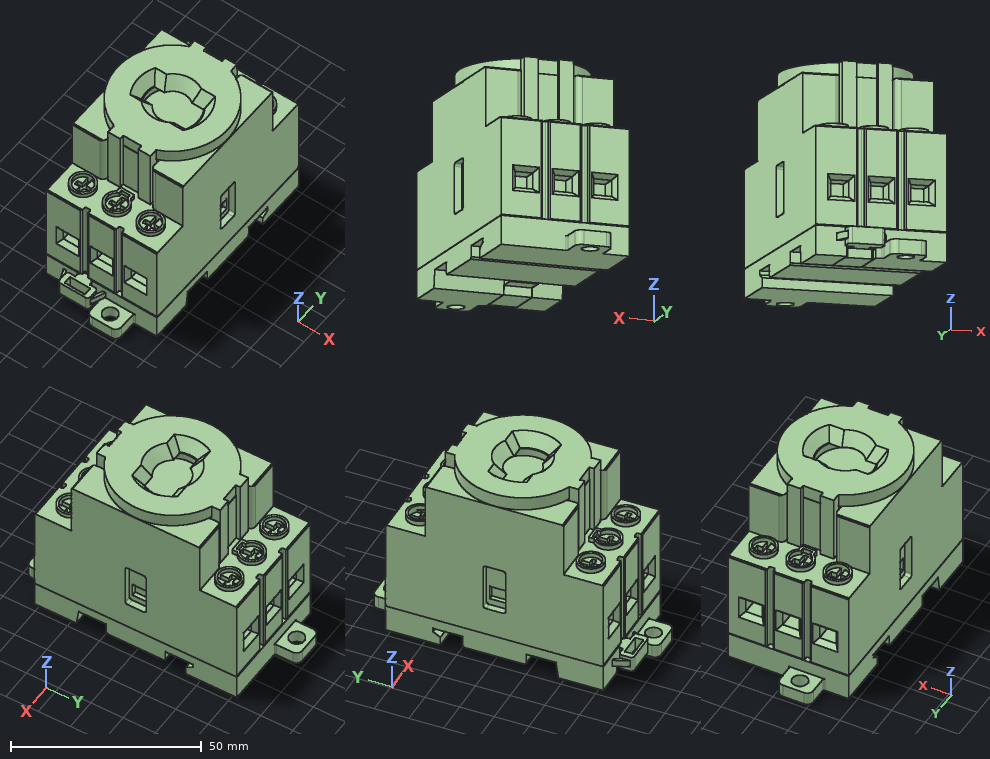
import cadquery as cq
WIDTH = 36.0
BODY_LENGTH = 62.85
TOTAL_LENGTH = 77.6
TOTAL_HEIGHT = 54.8
BASE_TOP = 7.9
TERMINAL_TOP = 34.6
BLOCK_TOP = 50.8
BLOCK_LENGTH = 39.9
EDGE_CHAMFER = 0.3
LOWER_CHAMFER = 0.2

RAIL_CEILING = 4.9
CENTRE_FOOT_HALF = 9.2
CENTRE_FOOT_BOTTOM = 1.4
CENTRE_FOOT_CORNER = 0.55
HOOK_LIP_END = 15.5
HOOK_LIP_HEIGHT = 2.6
HOOK_ROOT_END = 17.7
HOOK_ROOT_HEIGHT = 3.8
FRONT_WALL_TOP_END = 17.7
FRONT_WALL_BOTTOM_END = 18.4
LUG_WIDTH = 10.0
LUG_HEIGHT = 3.95
LUG_X = 5.5
LUG_CORNER_RADIUS = 1.9
LUG_FOOT_RADIUS = 0.4
LUG_HOLE_DIAMETER = 4.5
LUG_HOLE_Y = 35.1

LATCH_X = -LUG_X
LATCH_BOTTOM = 2.55
LATCH_TOP = 7.15
SLIDER_WIDTH = 7.9
SLIDER_END = 11.7
BEAK_HEIGHT = 4.1
BEAK_BOTTOM_END = 13.9
SLIDER_FRONT_SETBACK = 1.2
FOOT_SETBACK = 1.55
FOOT_CHAMFER = 0.7
NECK_WIDTH = 4.65
HANDLE_WIDTH = 10.0
HANDLE_START = 32.35
HANDLE_END = 36.55
HANDLE_CORNER = 0.9
HANDLE_WINDOW_WIDTH = 6.6
HANDLE_WINDOW_LENGTH = 2.4
HANDLE_WINDOW_Y = 34.5
HANDLE_WINDOW_DEPTH = 3.9
ARM_BOTTOM = 4.1
ARM_TOP = 6.05
ARM_TIP_OUTER = 6.8
ARM_TIP_INNER = 6.0
ARM_ROOT_OUTER_Y = 36.25
ARM_ROOT_INNER_Y = 33.4
NECK_NOTCH_OUTER_WIDTH = 4.5
NECK_NOTCH_INNER_WIDTH = 1.55
NECK_NOTCH_DEPTH = 1.5

POLE_PITCH = 11.0
SCREW_Y = 24.6
SCREW_RING_DIAMETER = 7.6
SCREW_BORE_DIAMETER = 6.2
SCREW_RING_HEIGHT = 1.4
CROSS_WIDTH = 1.25
CROSS_SHORT_DIAMETER = 4.5
CROSS_DEPTH = 1.55
KEY_WIDTH = 4.5
KEY_SLOT_WIDTH = 2.7
KEY_SLOT_END = 20.7
REAR_RECESS_WIDTH = 4.8
REAR_RECESS_DEPTH = 0.8
WINDOW_Z = 18.3
WINDOW_WIDTH = 7.4
WINDOW_HEIGHT = 6.9
WINDOW_INNER_WIDTH = 5.0
WINDOW_INNER_HEIGHT = 4.35
WINDOW_TAPER_DEPTH = 1.55
WINDOW_BORE_DEPTH = 4.65
GROOVE_WIDTH = 1.7
GROOVE_DEPTH = 1.55
GROOVE_FLOOR_RADIUS = 0.4
GROOVE_MOUTH_FLARE = 0.5
GROOVE_MOUTH_DEPTH = 0.3

POCKET_LENGTH = 6.45
POCKET_BOTTOM = 16.3
POCKET_TOP = 30.2
POCKET_CORNER = 0.8
POCKET_DEPTH = 2.0
INNER_POCKET_LENGTH = 4.6
INNER_POCKET_BOTTOM = 18.2
INNER_POCKET_TOP = 22.3
INNER_POCKET_DEPTH = 1.3

CAP_RADIUS = 17.9
LEG_WIDTH = 13.8
LEG_END = 19.2
LEG_START = 16.45
LEG_GROOVE_WIDTH = 5.9
LEG_GROOVE_FLOOR = 17.85
CAP_NOTCH_FLOOR = 17.8
LEG_SLOT_WIDTH = 15.2
LEG_SLOT_CORNER = 1.4
SOCKET_RADIUS = 8.2
WING_RADIUS = 11.2
LEFT_WING_HALF = 5.6
RIGHT_WING_HALF = 7.1
SOCKET_TAPER_INSET = 2.95
SOCKET_TAPER_DEPTH = 3.65
WELL_DIAMETER = 17.0
WELL_DEPTH = 6.3

HALF_WIDTH = WIDTH / 2
HALF_BODY = BODY_LENGTH / 2
HALF_BLOCK = BLOCK_LENGTH / 2
SLIDER_FRONT = -HALF_BODY + SLIDER_FRONT_SETBACK
POLES = (-POLE_PITCH, 0, POLE_PITCH)
ENDS = (-1, 1)


def box(x_min, x_max, y_min, y_max, z_min, z_max):
    size = (x_max - x_min, y_max - y_min, z_max - z_min)
    return cq.Workplane("XY").box(*size, centered=False).translate((x_min, y_min, z_min))


def centred_box(width, y_min, y_max, z_min, z_max):
    return box(-width / 2, width / 2, y_min, y_max, z_min, z_max)


def at_end(shape, end):
    """Place a shape modelled at the rear (+Y) end at either end by a half turn about Z."""
    return shape if end > 0 else shape.rotate((0, 0, 0), (0, 0, 1), 180)


def slider():
    """Sliding plate that ends in a beak under the rail recess."""
    profile = [
        (-SLIDER_END, LATCH_TOP),
        (-SLIDER_END, BEAK_HEIGHT),
        (-BEAK_BOTTOM_END, LATCH_BOTTOM),
        (SLIDER_FRONT, LATCH_BOTTOM),
        (SLIDER_FRONT, LATCH_TOP),
    ]
    plate = cq.Workplane("YZ").polyline(profile).close().extrude(SLIDER_WIDTH / 2, both=True)
    return plate.translate((LATCH_X, 0, 0))


def latch_foot():
    foot = centred_box(
        SLIDER_WIDTH, -HALF_BODY + FOOT_SETBACK, -FRONT_WALL_BOTTOM_END, 0, LATCH_BOTTOM
    )
    return foot.edges("|Z and <Y").chamfer(FOOT_CHAMFER).translate((LATCH_X, 0, 0))


def latch_handle():
    handle = centred_box(HANDLE_WIDTH, -HANDLE_END, -HANDLE_START, LATCH_BOTTOM, LATCH_TOP)
    handle = handle.edges("|Z").fillet(HANDLE_CORNER)
    window = centred_box(
        HANDLE_WINDOW_WIDTH,
        -HANDLE_WINDOW_Y - HANDLE_WINDOW_LENGTH / 2,
        -HANDLE_WINDOW_Y + HANDLE_WINDOW_LENGTH / 2,
        LATCH_TOP - HANDLE_WINDOW_DEPTH,
        LATCH_TOP,
    )
    return handle.cut(window).translate((LATCH_X, 0, 0))


def latch_arm():
    """Spring arm on the -X side of the handle, leaning back to the base."""
    root_x = HANDLE_WIDTH / 2
    outline = [
        (-ARM_TIP_OUTER, -HALF_BODY),
        (-root_x, -ARM_ROOT_OUTER_Y + HANDLE_CORNER / 2),
        (-root_x + HANDLE_CORNER / 2, -ARM_ROOT_INNER_Y - HANDLE_CORNER),
        (-root_x, -ARM_ROOT_INNER_Y),
        (-ARM_TIP_INNER, -HALF_BODY),
    ]
    return (
        cq.Workplane("XY", origin=(0, 0, ARM_BOTTOM))
        .polyline(outline)
        .close()
        .extrude(ARM_TOP - ARM_BOTTOM)
    )


def make_latch():
    neck = centred_box(NECK_WIDTH, -HANDLE_START, SLIDER_FRONT, LATCH_BOTTOM, LATCH_TOP)
    arm = latch_arm()
    latch = slider().union(latch_foot())
    latch = latch.union(neck.translate((LATCH_X, 0, 0))).union(latch_handle())
    for side_arm in (arm, arm.mirror("YZ")):
        latch = latch.union(side_arm.translate((LATCH_X, 0, 0)))
    return latch


def base_profile():
    """Side outline with the mounting-rail recess on each side of the centre foot."""
    corner = CENTRE_FOOT_CORNER
    foot_side = CENTRE_FOOT_BOTTOM + corner
    points = [
        (HALF_BODY, 0),
        (HOOK_LIP_END, 0),
        (HOOK_LIP_END, HOOK_LIP_HEIGHT),
        (HOOK_ROOT_END, HOOK_ROOT_HEIGHT),
        (HOOK_ROOT_END, RAIL_CEILING),
        (CENTRE_FOOT_HALF, RAIL_CEILING),
        (CENTRE_FOOT_HALF, foot_side),
        (CENTRE_FOOT_HALF - corner, CENTRE_FOOT_BOTTOM),
        (corner - CENTRE_FOOT_HALF, CENTRE_FOOT_BOTTOM),
        (-CENTRE_FOOT_HALF, foot_side),
        (-CENTRE_FOOT_HALF, RAIL_CEILING),
        (-FRONT_WALL_TOP_END, RAIL_CEILING),
        (-FRONT_WALL_BOTTOM_END, 0),
        (-HALF_BODY, 0),
        (-HALF_BODY, BASE_TOP),
        (HALF_BODY, BASE_TOP),
    ]
    return cq.Workplane("YZ").polyline(points).close().extrude(HALF_WIDTH, both=True)


def mounting_lug():
    """Screw lug of the rear end; its root flares into the base wall."""
    half = LUG_WIDTH / 2
    tip = TOTAL_LENGTH / 2
    flare = LUG_FOOT_RADIUS
    lug = (
        cq.Workplane("XY")
        .moveTo(-half - flare, HALF_BODY)
        .radiusArc((-half, HALF_BODY + flare), -flare)
        .lineTo(-half, tip - LUG_CORNER_RADIUS)
        .radiusArc((-half + LUG_CORNER_RADIUS, tip), LUG_CORNER_RADIUS)
        .lineTo(half - LUG_CORNER_RADIUS, tip)
        .radiusArc((half, tip - LUG_CORNER_RADIUS), LUG_CORNER_RADIUS)
        .lineTo(half, HALF_BODY + flare)
        .radiusArc((half + flare, HALF_BODY), -flare)
        .close()
        .extrude(LUG_HEIGHT)
    )
    hole = cq.Workplane("XY").center(0, LUG_HOLE_Y).circle(LUG_HOLE_DIAMETER / 2).extrude(LUG_HEIGHT)
    return lug.cut(hole).translate((-LUG_X, 0, 0))


def neck_notch():
    """Flared notch in the front wall, above the latch neck."""
    outline = [
        (-NECK_NOTCH_OUTER_WIDTH / 2, -HALF_BODY),
        (-NECK_NOTCH_INNER_WIDTH / 2, -HALF_BODY + NECK_NOTCH_DEPTH),
        (NECK_NOTCH_INNER_WIDTH / 2, -HALF_BODY + NECK_NOTCH_DEPTH),
        (NECK_NOTCH_OUTER_WIDTH / 2, -HALF_BODY),
    ]
    notch = cq.Workplane("XY", origin=(LATCH_X, 0, LATCH_TOP)).polyline(outline).close()
    return notch.extrude(BASE_TOP - LATCH_TOP)


def latch_channel():
    """Passage for the latch through the front wall, narrowed around its neck."""
    neck_hole = centred_box(NECK_WIDTH, -HALF_BODY, SLIDER_FRONT, LATCH_BOTTOM, LATCH_TOP)
    foot_hole = centred_box(SLIDER_WIDTH, -HALF_BODY, -FRONT_WALL_TOP_END, 0, LATCH_BOTTOM)
    return slider().union(neck_hole.union(foot_hole).translate((LATCH_X, 0, 0)))


def make_base():
    base = base_profile()
    for end in ENDS:
        base = base.union(at_end(mounting_lug(), end))
    return base.cut(latch_channel()).cut(neck_notch())


def housing_shell():
    terminals = centred_box(WIDTH, -HALF_BODY, HALF_BODY, BASE_TOP, TERMINAL_TOP)
    block = centred_box(WIDTH, -HALF_BLOCK, HALF_BLOCK, BASE_TOP, BLOCK_TOP)
    terminals = terminals.faces(">Z").edges("|X").chamfer(EDGE_CHAMFER)
    terminals = terminals.faces("<Z").edges("|X").chamfer(LOWER_CHAMFER)
    block = block.faces(">Z").edges("|X").chamfer(EDGE_CHAMFER)
    return terminals.union(block)


def leg_slot():
    """Slot for a cap leg at the rear of the block, rounded out at its mouth."""
    half = LEG_SLOT_WIDTH / 2
    corner = LEG_SLOT_CORNER
    return (
        cq.Workplane("XY", origin=(0, 0, TERMINAL_TOP))
        .moveTo(-half, LEG_START)
        .lineTo(-half, HALF_BLOCK - corner)
        .radiusArc((-half - corner, HALF_BLOCK), -corner)
        .lineTo(half + corner, HALF_BLOCK)
        .radiusArc((half, HALF_BLOCK - corner), -corner)
        .lineTo(half, LEG_START)
        .close()
        .extrude(BLOCK_TOP - TERMINAL_TOP)
    )


def pole_groove(x):
    """Rear groove between two poles: flared mouth, rounded floor corners."""
    half = GROOVE_WIDTH / 2
    floor_y = HALF_BODY - GROOVE_DEPTH
    radius = GROOVE_FLOOR_RADIUS
    mouth = half + GROOVE_MOUTH_FLARE
    return (
        cq.Workplane("XY", origin=(x, 0, BASE_TOP))
        .moveTo(-mouth, HALF_BODY)
        .lineTo(-half, HALF_BODY - GROOVE_MOUTH_DEPTH)
        .lineTo(-half, floor_y + radius)
        .radiusArc((-half + radius, floor_y), -radius)
        .lineTo(half - radius, floor_y)
        .radiusArc((half, floor_y + radius), -radius)
        .lineTo(half, HALF_BODY - GROOVE_MOUTH_DEPTH)
        .lineTo(mouth, HALF_BODY)
        .close()
        .extrude(TERMINAL_TOP - BASE_TOP)
    )


def terminal_window(x):
    """Wire entry in the rear wall: a funnel that narrows into a straight bore."""
    funnel_end = HALF_BODY - WINDOW_TAPER_DEPTH
    funnel = (
        cq.Workplane("XZ", origin=(x, HALF_BODY, WINDOW_Z))
        .rect(WINDOW_WIDTH, WINDOW_HEIGHT)
        .workplane(offset=WINDOW_TAPER_DEPTH)
        .rect(WINDOW_INNER_WIDTH, WINDOW_INNER_HEIGHT)
        .loft(combine=True)
    )
    bore = centred_box(
        WINDOW_INNER_WIDTH,
        funnel_end - WINDOW_BORE_DEPTH,
        funnel_end,
        WINDOW_Z - WINDOW_INNER_HEIGHT / 2,
        WINDOW_Z + WINDOW_INNER_HEIGHT / 2,
    )
    return funnel.union(bore.translate((x, 0, 0)))


def screw_disc(x, diameter):
    disc = cq.Workplane("XY", origin=(x, SCREW_Y, TERMINAL_TOP)).circle(diameter / 2)
    return disc.extrude(SCREW_RING_HEIGHT)


def screw_ring(x):
    """Collar around a rear screw; the middle collar has a key that reaches the block."""
    ring = screw_disc(x, SCREW_RING_DIAMETER)
    bore = screw_disc(x, SCREW_BORE_DIAMETER)
    ring_top = TERMINAL_TOP + SCREW_RING_HEIGHT
    if x == 0:
        ring = ring.union(centred_box(KEY_WIDTH, HALF_BLOCK, SCREW_Y, TERMINAL_TOP, ring_top))
        bore = bore.union(centred_box(KEY_SLOT_WIDTH, KEY_SLOT_END, SCREW_Y, TERMINAL_TOP, ring_top))
    return ring.cut(bore)


def screw_cross(x):
    """Cross-shaped driver recess, each pair of arms ending on its own circle."""
    top = cq.Workplane("XY", origin=(x, SCREW_Y, TERMINAL_TOP))
    long_arm = top.rect(CROSS_WIDTH, SCREW_BORE_DIAMETER).extrude(-CROSS_DEPTH)
    short_arm = top.rect(SCREW_BORE_DIAMETER, CROSS_WIDTH).extrude(-CROSS_DEPTH)
    short_arm = short_arm.intersect(top.circle(CROSS_SHORT_DIAMETER / 2).extrude(-CROSS_DEPTH))
    inside_bore = top.circle(SCREW_BORE_DIAMETER / 2).extrude(-CROSS_DEPTH)
    return long_arm.union(short_arm).intersect(inside_bore)


def rear_screw_recess(x):
    """Shallow flats in a rear screw, one on each side of the outer long arm of the cross."""
    flats = centred_box(
        REAR_RECESS_WIDTH,
        SCREW_Y + CROSS_WIDTH / 2,
        SCREW_Y + SCREW_BORE_DIAMETER / 2,
        TERMINAL_TOP - REAR_RECESS_DEPTH,
        TERMINAL_TOP,
    )
    inside_bore = screw_disc(x, SCREW_BORE_DIAMETER).translate((0, 0, -SCREW_RING_HEIGHT))
    return flats.translate((x, 0, 0)).intersect(inside_bore).cut(screw_cross(x))


def side_pocket():
    """Rounded pocket in the -X wall with a smaller pocket in its floor."""
    floor_x = -HALF_WIDTH + POCKET_DEPTH
    half = POCKET_LENGTH / 2
    inner_half = INNER_POCKET_LENGTH / 2
    pocket = box(-HALF_WIDTH, floor_x, -half, half, POCKET_BOTTOM, POCKET_TOP)
    pocket = pocket.edges("|X").fillet(POCKET_CORNER)
    inner = box(
        floor_x,
        floor_x + INNER_POCKET_DEPTH,
        -inner_half,
        inner_half,
        INNER_POCKET_BOTTOM,
        INNER_POCKET_TOP,
    )
    return pocket.union(inner)


def socket_well():
    well_bottom = TOTAL_HEIGHT - WELL_DEPTH
    well = cq.Workplane("XY", origin=(0, 0, well_bottom)).circle(WELL_DIAMETER / 2)
    return well.extrude(TOTAL_HEIGHT - SOCKET_TAPER_DEPTH - well_bottom)


def make_housing():
    housing = housing_shell()
    for end in ENDS:
        housing = housing.cut(at_end(leg_slot(), end))
        for x in POLES:
            housing = housing.union(at_end(screw_ring(x), end))
            housing = housing.cut(at_end(screw_cross(x), end))
            housing = housing.cut(at_end(terminal_window(x), end))
        for x in (-POLE_PITCH / 2, POLE_PITCH / 2):
            housing = housing.cut(at_end(pole_groove(x), end))
    for x in POLES:
        housing = housing.cut(rear_screw_recess(x))
    pocket = side_pocket()
    housing = housing.cut(pocket).cut(pocket.mirror("YZ"))
    return housing.cut(socket_well())


def socket_cone(radius):
    cone = cq.Solid.makeCone(
        radius - SOCKET_TAPER_INSET,
        radius,
        SOCKET_TAPER_DEPTH,
        pnt=cq.Vector(0, 0, TOTAL_HEIGHT - SOCKET_TAPER_DEPTH),
    )
    return cq.Workplane(obj=cone)


def socket_wing(half_height, side):
    """Tapered wing of the socket, on the side (-1 or 1) of the X axis."""
    inner_half = half_height - SOCKET_TAPER_INSET
    taper_bottom = TOTAL_HEIGHT - SOCKET_TAPER_DEPTH
    section = [
        (-half_height, TOTAL_HEIGHT),
        (half_height, TOTAL_HEIGHT),
        (inner_half, taper_bottom),
        (-inner_half, taper_bottom),
    ]
    wedge = cq.Workplane("YZ").polyline(section).close().extrude(side * WING_RADIUS)
    return wedge.intersect(socket_cone(WING_RADIUS))


def cap_leg():
    """Grooved leg of the rear side, running down to the terminal level beside the block."""
    leg = centred_box(LEG_WIDTH, LEG_START, LEG_END, TERMINAL_TOP, TOTAL_HEIGHT)
    return leg.cut(centred_box(LEG_GROOVE_WIDTH, LEG_GROOVE_FLOOR, LEG_END, TERMINAL_TOP, TOTAL_HEIGHT))


def cap_notch():
    """Flat-bottomed notch in the rim of the disc, above the groove of the rear leg."""
    return centred_box(LEG_GROOVE_WIDTH, CAP_NOTCH_FLOOR, LEG_END, BLOCK_TOP, TOTAL_HEIGHT)


def make_cap():
    disc = cq.Workplane("XY", origin=(0, 0, BLOCK_TOP)).circle(CAP_RADIUS)
    cap = disc.extrude(TOTAL_HEIGHT - BLOCK_TOP)
    for end in ENDS:
        cap = cap.union(at_end(cap_leg(), end))
        cap = cap.cut(at_end(cap_notch(), end))
    cap = cap.cut(socket_cone(SOCKET_RADIUS))
    cap = cap.cut(socket_wing(LEFT_WING_HALF, -1)).cut(socket_wing(RIGHT_WING_HALF, 1))
    return cap.cut(socket_well())


base = make_base()
latch = make_latch()
housing = make_housing()
cap = make_cap()

result = cq.Compound.makeCompound(
    [base.solids().val(), latch.solids().val(), housing.solids().val(), cap.solids().val()]
)